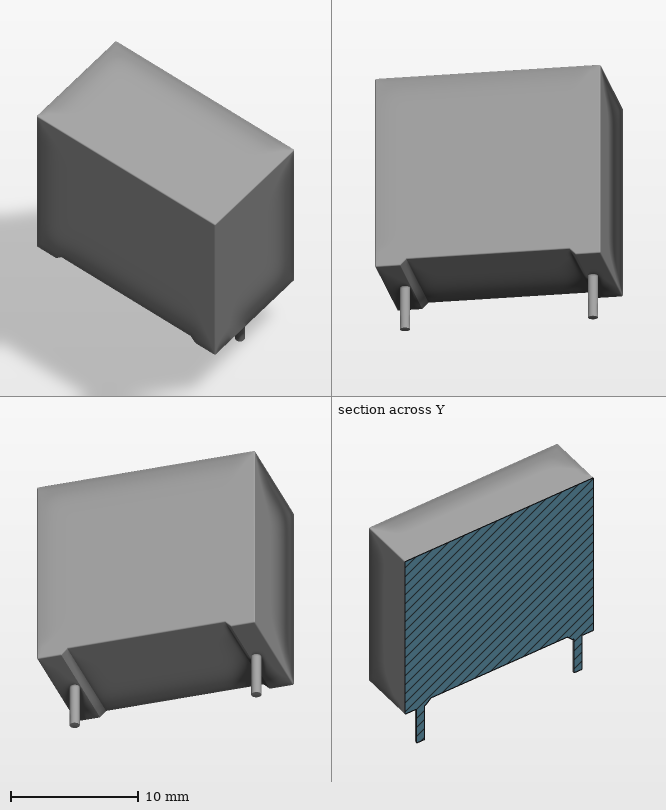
import cadquery as cq

case_length = 18.0
case_width = 10.0
case_height = 15.8
edge_radius = 0.1

recess_depth = 0.5
recess_length = 13.0
recess_mouth_length = recess_length + 2 * recess_depth

lead_pitch = 15.0
lead_diameter = 0.8
lead_length = 3.5
lead_embedding = 0.5


def make_case():
    """Box with a flared recess running through the underside along Y."""
    half_length = case_length / 2
    half_mouth = recess_mouth_length / 2
    half_recess = recess_length / 2
    outline = [
        (-half_length, 0),
        (-half_mouth, 0),
        (-half_recess, recess_depth),
        (half_recess, recess_depth),
        (half_mouth, 0),
        (half_length, 0),
        (half_length, case_height),
        (-half_length, case_height),
    ]
    case = cq.Workplane("XZ").polyline(outline).close().extrude(case_width / 2, both=True)

    return case.edges("(not |Y) or >X or <X").fillet(edge_radius)


def make_lead(x):
    """Round lead from inside the case foot down to its tip."""
    return (
        cq.Workplane("XY", origin=(x, 0, -lead_length))
        .circle(lead_diameter / 2)
        .extrude(lead_length + lead_embedding)
    )


result = make_case()
for side in (-1, 1):
    result = result.union(make_lead(side * lead_pitch / 2))